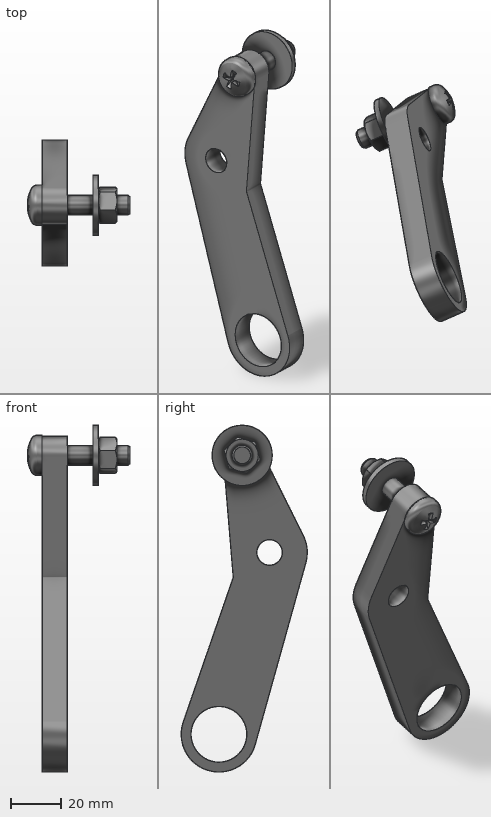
import cadquery as cq
import math


LEVER_THICKNESS = 10.0
BOLT_END = (0.0, 0.0)
BOLT_END_RADIUS = 7.6
PIVOT = (10.9, -38.5)
PIVOT_HOLE_DIAMETER = 10.0
RING = (-9.2, -110.7)
RING_BORE_DIAMETER = 22.0
LOBE_RADIUS = 15.0
INNER_CORNER = (-3.6, -48.5)
INNER_CORNER_FILLET = 2.0

BOLT_DIAMETER = 8.0
BOLT_LENGTH = 35.0
BOLT_TIP_DIAMETER = 6.6
BOLT_TIP_CHAMFER = 1.0
HEAD_DIAMETER = 16.1
HEAD_HEIGHT = 5.9
HEAD_RIM = 1.8
DOME_SPHERE_RADIUS = 13.8

RECESS_RADIUS = 4.7
RECESS_DEPTH = 3.5
RECESS_INNER_WIDTH = 1.2
RECESS_OUTER_WIDTH = 2.3
RECESS_ARMS = 4
RECESS_ANGLE = 19.0

WASHER_START = 20.1
WASHER_DIAMETER = 24.0
WASHER_THICKNESS = 2.2
NUT_START = WASHER_START + WASHER_THICKNESS
NUT_HEIGHT = 7.5
NUT_ACROSS_FLATS = 13.0
NUT_CORNER_DIAMETER = NUT_ACROSS_FLATS / math.cos(math.radians(30))
NUT_END_DIAMETER = 12.8
NUT_CHAMFER = 0.76
NUT_ANGLE = -15.0


def disc(start, length, diameter, center=BOLT_END):
    """Cylinder along X from X = start, centred on a (Y, Z) point."""
    plane = cq.Workplane("YZ", origin=(start, 0, 0))
    return plane.center(*center).circle(diameter / 2).extrude(length)


def polar(center, radius, angle):
    return (center[0] + radius * math.cos(angle), center[1] + radius * math.sin(angle))


def tangent_angle(center_a, radius_a, center_b, radius_b):
    """Direction from both centres to their outer tangent, on the right going from a to b."""
    dy = center_b[0] - center_a[0]
    dz = center_b[1] - center_a[1]
    return math.atan2(dz, dy) - math.acos((radius_a - radius_b) / math.hypot(dy, dz))


def make_lever():
    outer_low = tangent_angle(RING, LOBE_RADIUS, PIVOT, LOBE_RADIUS)
    outer_high = tangent_angle(PIVOT, LOBE_RADIUS, BOLT_END, BOLT_END_RADIUS)
    inner_high = tangent_angle(BOLT_END, BOLT_END_RADIUS, INNER_CORNER, 0)
    inner_low = tangent_angle(INNER_CORNER, 0, RING, LOBE_RADIUS)
    pivot_mid = (outer_low + outer_high) / 2
    end_mid = math.pi / 2
    ring_mid = -math.pi / 2

    blank = (
        cq.Workplane("YZ")
        .moveTo(*polar(RING, LOBE_RADIUS, outer_low))
        .lineTo(*polar(PIVOT, LOBE_RADIUS, outer_low))
        .threePointArc(polar(PIVOT, LOBE_RADIUS, pivot_mid), polar(PIVOT, LOBE_RADIUS, outer_high))
        .lineTo(*polar(BOLT_END, BOLT_END_RADIUS, outer_high))
        .threePointArc(
            polar(BOLT_END, BOLT_END_RADIUS, end_mid), polar(BOLT_END, BOLT_END_RADIUS, inner_high)
        )
        .lineTo(*INNER_CORNER)
        .lineTo(*polar(RING, LOBE_RADIUS, inner_low))
        .threePointArc(polar(RING, LOBE_RADIUS, ring_mid), polar(RING, LOBE_RADIUS, outer_low))
        .close()
        .extrude(LEVER_THICKNESS)
    )
    corner_edge = cq.selectors.NearestToPointSelector((LEVER_THICKNESS / 2, *INNER_CORNER))
    blank = blank.edges("|X").edges(corner_edge).fillet(INNER_CORNER_FILLET)
    for center, diameter in (
        (BOLT_END, BOLT_DIAMETER),
        (PIVOT, PIVOT_HOLE_DIAMETER),
        (RING, RING_BORE_DIAMETER),
    ):
        blank = blank.cut(disc(0, LEVER_THICKNESS, diameter, center))
    return blank


def make_recess():
    """Cross-shaped cutter with flared arms and a conical floor."""
    cone = (
        cq.Workplane("XY")
        .moveTo(-HEAD_HEIGHT, 0)
        .lineTo(-HEAD_HEIGHT, RECESS_RADIUS)
        .lineTo(RECESS_DEPTH - HEAD_HEIGHT, RECESS_INNER_WIDTH / 2)
        .lineTo(RECESS_DEPTH - HEAD_HEIGHT, 0)
        .close()
        .revolve(360, (0, 0, 0), (1, 0, 0))
    )
    arm = (
        cq.Workplane("YZ", origin=(-HEAD_HEIGHT, 0, 0))
        .polyline([
            (0, -RECESS_INNER_WIDTH / 2),
            (RECESS_RADIUS, -RECESS_OUTER_WIDTH / 2),
            (RECESS_RADIUS, RECESS_OUTER_WIDTH / 2),
            (0, RECESS_INNER_WIDTH / 2),
        ])
        .close()
        .extrude(RECESS_DEPTH)
    )
    cross = arm
    for index in range(1, RECESS_ARMS):
        cross = cross.union(arm.rotate((0, 0, 0), (1, 0, 0), index * 360 / RECESS_ARMS))
    return cross.intersect(cone).rotate((0, 0, 0), (1, 0, 0), RECESS_ANGLE)


def make_bolt():
    head_radius = HEAD_DIAMETER / 2
    dome_sphere_x = DOME_SPHERE_RADIUS - HEAD_HEIGHT
    sphere_offset = dome_sphere_x + HEAD_RIM
    shoulder_radius = (DOME_SPHERE_RADIUS**2 - sphere_offset**2 - head_radius**2) / (
        2 * (DOME_SPHERE_RADIUS - head_radius)
    )
    dome_half_angle = math.atan2(head_radius - shoulder_radius, sphere_offset)

    def dome_point(angle):
        return (
            dome_sphere_x - DOME_SPHERE_RADIUS * math.cos(angle),
            DOME_SPHERE_RADIUS * math.sin(angle),
        )

    body = (
        cq.Workplane("XY")
        .moveTo(-HEAD_HEIGHT, 0)
        .threePointArc(dome_point(dome_half_angle / 2), dome_point(dome_half_angle))
        .tangentArcPoint((-HEAD_RIM, head_radius), relative=False)
        .lineTo(0, head_radius)
        .lineTo(0, BOLT_DIAMETER / 2)
        .lineTo(BOLT_LENGTH - BOLT_TIP_CHAMFER, BOLT_DIAMETER / 2)
        .lineTo(BOLT_LENGTH, BOLT_TIP_DIAMETER / 2)
        .lineTo(BOLT_LENGTH, 0)
        .close()
        .revolve(360, (0, 0, 0), (1, 0, 0))
    )
    return body.cut(make_recess())


def make_washer():
    bore = disc(WASHER_START, WASHER_THICKNESS, BOLT_DIAMETER)
    return disc(WASHER_START, WASHER_THICKNESS, WASHER_DIAMETER).cut(bore)


def make_nut():
    hexagon = (
        cq.Workplane("YZ", origin=(NUT_START, 0, 0))
        .polygon(6, NUT_CORNER_DIAMETER)
        .extrude(NUT_HEIGHT)
        .rotate((0, 0, 0), (1, 0, 0), NUT_ANGLE)
    )
    corner_chamfer = (NUT_CORNER_DIAMETER - NUT_END_DIAMETER) / 2
    turned = (
        disc(NUT_START, NUT_HEIGHT, NUT_CORNER_DIAMETER)
        .faces("<X or >X")
        .edges()
        .chamfer(NUT_CHAMFER, corner_chamfer)
    )
    return hexagon.intersect(turned).cut(disc(NUT_START, NUT_HEIGHT, BOLT_DIAMETER))


lever = make_lever()
bolt = make_bolt()
washer = make_washer()
nut = make_nut()

bodies = (lever, bolt, washer, nut)
result = cq.Compound.makeCompound([body.solids().val() for body in bodies])